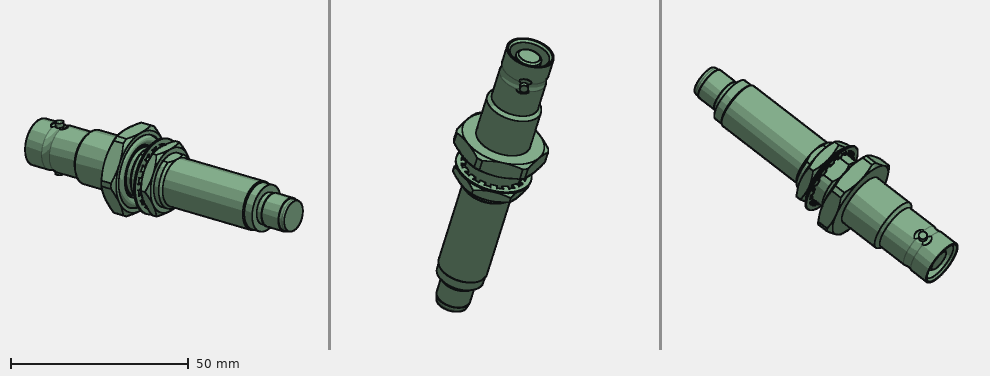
import cadquery as cq
import math

TOTAL_LENGTH = 88.45

SHELL_RADIUS = 6.85
BODY_RADIUS = 7.95
BARREL_RADIUS = 7.15
PLUG_RADIUS = 4.7
PLUG_THREAD_RADIUS = 4.95
PLUG_TIP_RADIUS = 4.5

BODY_BEVEL_START = 17.2
BODY_BEVEL_END = 18.2
FLANGE_FRONT = 30.4
FLANGE_WIDTH = 5.0
FLANGE_REAR = FLANGE_FRONT + FLANGE_WIDTH
THREAD_START = 36.9
THREAD_END = 48.1
THREAD_BEVEL_LENGTH = BODY_RADIUS - BARREL_RADIUS
BARREL_END = 76.3
BARREL_BEVEL_LENGTH = 0.35
COLLAR_END = 79.0
PLUG_THREAD_START = 80.8
PLUG_THREAD_END = 86.7
PLUG_BEVEL_START = 87.7

FLANGE_ACROSS_FLATS = 23.85
FLANGE_CORNER_DIAMETER = 26.59
NUT_ACROSS_FLATS = 19.0
CHAMFER_ANGLE = math.radians(30)

FLAT_HEIGHT = 7.13

SOCKET_MOUTH_RADIUS = 6.4
SOCKET_RADIUS = 5.75
SOCKET_MOUTH_DEPTH = 0.7
SOCKET_DEPTH = 9.0
CONTACT_RADIUS = 3.7
CONTACT_RECESS = 1.1
CONTACT_CHAMFER = 0.6

STUD_STATION = 7.05
STUD_RADIUS = 1.2
STUD_TIP_HEIGHT = BODY_RADIUS
STUD_ROOT_HEIGHT = 6.2
GROOVE_WIDTH = 2.7
GROOVE_DEPTH = 0.25
SPOT_RADIUS = 2.5
SPOT_HEIGHT = 6.62

RING_SECTION_RADIUS = 1.5
RING_MEAN_RADIUS = 9.2
RING_PROTRUSION = 0.65

WASHER_FRONT = 40.9
WASHER_THICKNESS = 0.5
WASHER_RADIUS = 11.05
TOOTH_ROOT_RADIUS = 9.5
TOOTH_TIP_RADIUS = 8.3
TOOTH_COUNT = 16
TOOTH_WIDTH = 1.8

NUT_FRONT = 42.4
NUT_WIDTH = 3.2


def revolve_about_x(outline):
    """Revolve (station, radius) points about the X axis."""
    return cq.Workplane("XY").polyline(outline).close().revolve(360, (0, 0), (1, 0))


def cylinder(start, end, radius):
    """Cylinder along X between two stations."""
    return cq.Workplane("YZ", origin=(start, 0, 0)).circle(radius).extrude(end - start)


def tube(start, end, outer_radius, inner_radius):
    """Straight ring along X between two stations."""
    return cylinder(start, end, outer_radius).cut(cylinder(start, end, inner_radius))


def chamfered_hexagon(start, width, across_flats, corner_radius):
    """Hexagon with flats facing +Z and -Z, and corners turned down at both faces."""
    point_diameter = across_flats / math.cos(math.radians(30))
    face_radius = across_flats / 2
    chamfer_length = (corner_radius - face_radius) * math.tan(CHAMFER_ANGLE)
    end = start + width
    hexagon = cq.Workplane("YZ", origin=(start, 0, 0)).polygon(6, point_diameter).extrude(width)
    envelope = revolve_about_x([
        (start, 0),
        (start, face_radius),
        (start + chamfer_length, corner_radius),
        (end - chamfer_length, corner_radius),
        (end, face_radius),
        (end, 0),
    ])
    return hexagon.intersect(envelope)



def housing_blank():
    """Stepped round body from the front shell to the rear plug."""
    return revolve_about_x([
        (0, 0),
        (0, SHELL_RADIUS),
        (BODY_BEVEL_START, SHELL_RADIUS),
        (BODY_BEVEL_END, BODY_RADIUS),
        (FLANGE_FRONT, BODY_RADIUS),
        (FLANGE_FRONT, BARREL_RADIUS),
        (THREAD_START, BARREL_RADIUS),
        (THREAD_START + THREAD_BEVEL_LENGTH, BODY_RADIUS),
        (THREAD_END - THREAD_BEVEL_LENGTH, BODY_RADIUS),
        (THREAD_END, BARREL_RADIUS),
        (BARREL_END - BARREL_BEVEL_LENGTH, BARREL_RADIUS),
        (BARREL_END, SHELL_RADIUS),
        (COLLAR_END, SHELL_RADIUS),
        (COLLAR_END, PLUG_RADIUS),
        (PLUG_THREAD_START, PLUG_RADIUS),
        (PLUG_THREAD_START, PLUG_THREAD_RADIUS),
        (PLUG_THREAD_END, PLUG_THREAD_RADIUS),
        (PLUG_THREAD_END, PLUG_RADIUS),
        (PLUG_BEVEL_START, PLUG_RADIUS),
        (TOTAL_LENGTH, PLUG_TIP_RADIUS),
        (TOTAL_LENGTH, 0),
    ])


def flange():
    """Hexagonal flange with a groove in its rear face for the sealing ring."""
    hexagon = chamfered_hexagon(
        FLANGE_FRONT, FLANGE_WIDTH, FLANGE_ACROSS_FLATS, FLANGE_CORNER_DIAMETER / 2)
    ring_groove = tube(
        FLANGE_REAR + RING_PROTRUSION - 2 * RING_SECTION_RADIUS,
        FLANGE_REAR,
        RING_MEAN_RADIUS + RING_SECTION_RADIUS,
        RING_MEAN_RADIUS - RING_SECTION_RADIUS,
    )
    return hexagon.cut(ring_groove)


def thread_flat_cutter():
    """Block above the locating flat, as long as the thread."""
    return cq.Workplane("XY", origin=(THREAD_START, 0, FLAT_HEIGHT)).box(
        THREAD_END - THREAD_START, 2 * BODY_RADIUS, BODY_RADIUS, centered=(False, True, False))


def socket_cutter():
    """Front bore with a flared mouth, leaving the chamfered contact standing inside."""
    return revolve_about_x([
        (0, 0),
        (0, SOCKET_MOUTH_RADIUS),
        (SOCKET_MOUTH_DEPTH, SOCKET_RADIUS),
        (SOCKET_DEPTH, SOCKET_RADIUS),
        (SOCKET_DEPTH, CONTACT_RADIUS),
        (CONTACT_RECESS + CONTACT_CHAMFER, CONTACT_RADIUS),
        (CONTACT_RECESS, CONTACT_RADIUS - CONTACT_CHAMFER),
        (CONTACT_RECESS, 0),
    ])


def bayonet_groove_cutter():
    """Shallow groove of arc section around the shell."""
    front = STUD_STATION - GROOVE_WIDTH / 2
    rear = STUD_STATION + GROOVE_WIDTH / 2
    return (
        cq.Workplane("XY")
        .moveTo(front, SHELL_RADIUS)
        .threePointArc((STUD_STATION, SHELL_RADIUS - GROOVE_DEPTH), (rear, SHELL_RADIUS))
        .lineTo(rear, BODY_RADIUS)
        .lineTo(front, BODY_RADIUS)
        .close()
        .revolve(360, (0, 0), (1, 0))
    )


def stud_spot_cutter(direction):
    """Round cutter that leaves a flat spot around a stud; direction is +1 for top, -1 for bottom."""
    return (
        cq.Workplane("XY", origin=(STUD_STATION, 0, direction * SPOT_HEIGHT))
        .circle(SPOT_RADIUS)
        .extrude(direction * (BODY_RADIUS - SPOT_HEIGHT))
    )


def bayonet_stud(direction):
    """Round stud rooted in the shell wall."""
    return (
        cq.Workplane("XY", origin=(STUD_STATION, 0, direction * STUD_ROOT_HEIGHT))
        .circle(STUD_RADIUS)
        .extrude(direction * (STUD_TIP_HEIGHT - STUD_ROOT_HEIGHT))
    )


def make_housing():
    housing = housing_blank().cut(thread_flat_cutter()).union(flange())
    housing = housing.cut(socket_cutter()).cut(bayonet_groove_cutter())
    for direction in (1, -1):
        housing = housing.cut(stud_spot_cutter(direction))
        housing = housing.union(bayonet_stud(direction))
    return housing



def make_sealing_ring():
    """Round-section ring standing slightly proud of the flange's rear face."""
    centre_station = FLANGE_REAR + RING_PROTRUSION - RING_SECTION_RADIUS
    return (
        cq.Workplane("XY")
        .moveTo(centre_station, RING_MEAN_RADIUS)
        .circle(RING_SECTION_RADIUS)
        .revolve(360, (0, 0), (1, 0))
    )



def make_washer():
    """Flat lock washer with teeth pointing inward."""
    washer_rear = WASHER_FRONT + WASHER_THICKNESS
    washer = tube(WASHER_FRONT, washer_rear, WASHER_RADIUS, TOOTH_ROOT_RADIUS)
    rim_middle_radius = (TOOTH_ROOT_RADIUS + WASHER_RADIUS) / 2
    tooth = cq.Workplane("XY", origin=(WASHER_FRONT, TOOTH_TIP_RADIUS, 0)).box(
        WASHER_THICKNESS, rim_middle_radius - TOOTH_TIP_RADIUS, TOOTH_WIDTH,
        centered=(False, False, True))
    for index in range(TOOTH_COUNT):
        washer = washer.union(tooth.rotate((0, 0, 0), (1, 0, 0), index * 360 / TOOTH_COUNT))
    return washer



def make_nut():
    """Hexagon nut bored to the outer size of the thread."""
    point_radius = NUT_ACROSS_FLATS / 2 / math.cos(math.radians(30))
    nut = chamfered_hexagon(NUT_FRONT, NUT_WIDTH, NUT_ACROSS_FLATS, point_radius)
    return nut.cut(cylinder(NUT_FRONT, NUT_FRONT + NUT_WIDTH, BODY_RADIUS))


housing = make_housing()
sealing_ring = make_sealing_ring()
washer = make_washer()
nut = make_nut()

result = cq.Compound.makeCompound([
    housing.solids().val(),
    sealing_ring.solids().val(),
    washer.solids().val(),
    nut.solids().val(),
])